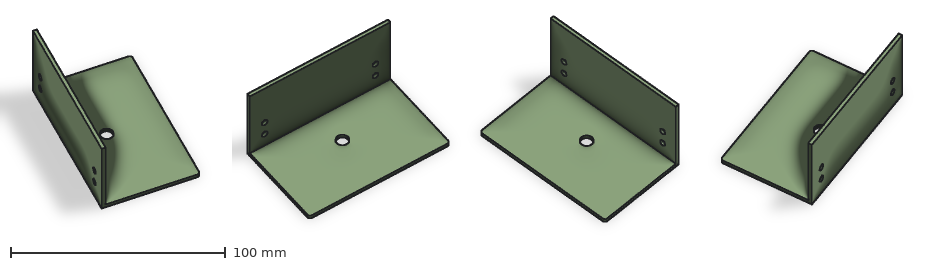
import cadquery as cq

width = 80.0
depth = 50.0
height = 42.0
thickness = 2.0

corner_radius = 1.5

base_hole_diameter = 6.5
base_hole_from_wall_face = 20.0

wall_hole_diameter = 3.2
wall_hole_spacing_x = 63.0
wall_hole_spacing_z = 8.0
lower_hole_height = 10.0


def make_base():
    """Horizontal plate with rounded far corners and a central hole."""
    plate = cq.Workplane("XY").box(width, depth, thickness, centered=(True, False, False))
    plate = plate.edges("|Z and >Y").fillet(corner_radius)
    hole = (
        cq.Workplane("XY")
        .center(0, base_hole_from_wall_face)
        .circle(base_hole_diameter / 2)
        .extrude(thickness)
    )
    return plate.cut(hole)


def make_wall():
    """Vertical plate along the near edge with two pairs of holes."""
    plate = cq.Workplane("XY").box(width, thickness, height, centered=(True, False, False))
    holes = (
        cq.Workplane("XZ")
        .center(0, lower_hole_height + wall_hole_spacing_z / 2)
        .rarray(wall_hole_spacing_x, wall_hole_spacing_z, 2, 2)
        .circle(wall_hole_diameter / 2)
        .extrude(-thickness)
    )
    return plate.cut(holes)


result = make_base().union(make_wall())